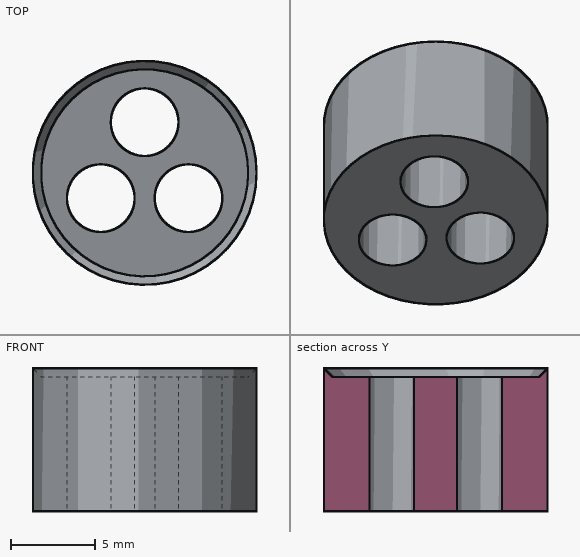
import cadquery as cq

body_diameter = 13.3
body_height = 8.5
recess_depth = 0.5
hole_diameter = 4.0
hole_count = 3
hole_circle_radius = 3.0
first_hole_angle = 90.0

body_radius = body_diameter / 2
recess_floor_radius = body_radius - recess_depth
recess_floor_height = body_height - recess_depth


def make_body():
    """Revolve a cylinder whose top is a conical recess meeting the rim at a sharp edge."""
    half_section = [
        (0, 0),
        (body_radius, 0),
        (body_radius, body_height),
        (recess_floor_radius, recess_floor_height),
        (0, recess_floor_height),
    ]
    return cq.Workplane("XZ").polyline(half_section).close().revolve(360, (0, 0), (0, 1))


def make_holes():
    """Evenly spaced through holes on a circle about the body axis."""
    return (
        cq.Workplane("XY")
        .polarArray(hole_circle_radius, first_hole_angle, 360, hole_count)
        .circle(hole_diameter / 2)
        .extrude(body_height)
    )


result = make_body().cut(make_holes())